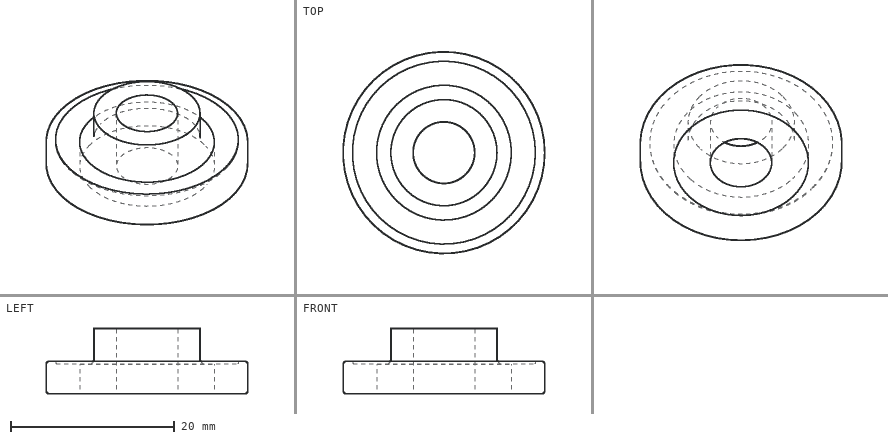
import cadquery as cq

ring_diameter = 24.7
ring_height = 4.0
ring_edge_radius = 0.4

recess_radius = 11.2
recess_depth = 0.32
recess_corner_radius = 0.2
rim_height = ring_height - recess_depth

lead_in_width = 0.25
lead_in_depth = 0.05

flange_radius = 8.25
flange_height = rim_height - lead_in_depth
hub_radius = 6.5
hub_height = 8.0
hub_fillet_radius = 0.7
bore_diameter = 7.5


def make_outer_ring():
    """Ring with rounded outer edges, a recessed top and a bore for the flange."""
    ring = cq.Workplane("XY").circle(ring_diameter / 2).extrude(ring_height)
    ring = ring.edges().fillet(ring_edge_radius)

    recess = cq.Workplane("XY").workplane(offset=rim_height).circle(recess_radius).extrude(recess_depth)
    recess = recess.faces("<Z").edges().fillet(recess_corner_radius)
    ring = ring.cut(recess)

    bore = (
        cq.Workplane("XZ")
        .lineTo(flange_radius, 0)
        .lineTo(flange_radius, flange_height)
        .lineTo(flange_radius + lead_in_width, rim_height)
        .lineTo(0, rim_height)
        .close()
        .revolve(360, (0, 0, 0), (0, 1, 0))
    )
    return ring.cut(bore)


def make_hub():
    """Flange and raised hub joined by a fillet, with a through bore."""
    fillet_top = flange_height + hub_fillet_radius
    fillet_outer = hub_radius + hub_fillet_radius
    bore_radius = bore_diameter / 2
    return (
        cq.Workplane("XZ")
        .moveTo(bore_radius, 0)
        .lineTo(flange_radius, 0)
        .lineTo(flange_radius, flange_height)
        .lineTo(fillet_outer, flange_height)
        .radiusArc((hub_radius, fillet_top), hub_fillet_radius)
        .lineTo(hub_radius, hub_height)
        .lineTo(bore_radius, hub_height)
        .close()
        .revolve(360, (0, 0, 0), (0, 1, 0))
    )


outer_ring = make_outer_ring()
hub = make_hub()

result = cq.Compound.makeCompound([outer_ring.val(), hub.val()])